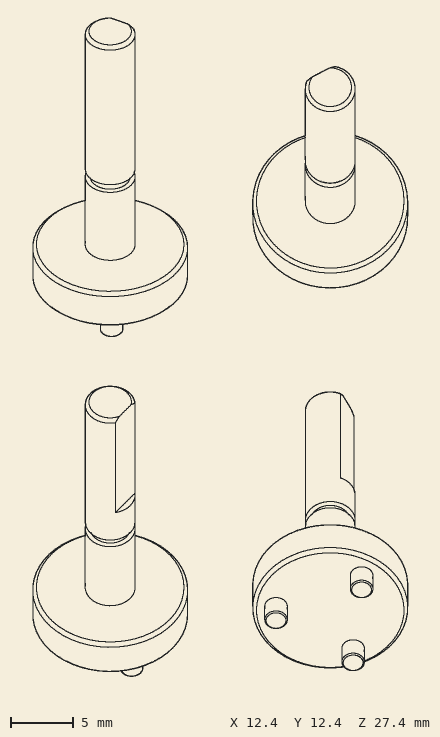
import cadquery as cq
import math

total_height = 27.35
pin_length = 1.8
disc_thickness = 3.5
disc_diameter = 12.4
disc_chamfer = 0.3

shaft_diameter = 4.0
shaft_chamfer = 0.3
groove_diameter = 3.2
groove_width = 0.8
groove_below_top = 14.22
flat_length = 11.0
flat_offset = 1.5

pin_count = 3
pin_diameter = 1.8
pin_chamfer = 0.1
pin_circle_radius = 4.35
first_pin_angle = 180.0

disc_bottom = pin_length
disc_top = disc_bottom + disc_thickness
groove_bottom = total_height - groove_below_top - groove_width


def cylinder(diameter, bottom, height):
    """Upright cylinder on the Z axis."""
    return cq.Workplane("XY").workplane(offset=bottom).circle(diameter / 2).extrude(height)


def make_disc():
    disc = cylinder(disc_diameter, disc_bottom, disc_thickness)
    return disc.faces("<Z or >Z").edges().chamfer(disc_chamfer)


def make_shaft():
    shaft = cylinder(shaft_diameter, disc_top, total_height - disc_top)
    shaft = shaft.faces(">Z").edges().chamfer(shaft_chamfer)

    groove_ring = cylinder(shaft_diameter, groove_bottom, groove_width).cut(
        cylinder(groove_diameter, groove_bottom, groove_width)
    )

    flat_cutter = (
        cq.Workplane("XY")
        .box(shaft_diameter, shaft_diameter, flat_length, centered=(True, False, False))
        .translate((0, flat_offset, total_height - flat_length))
    )
    return shaft.cut(groove_ring).cut(flat_cutter)


def make_pin(angle):
    """Pin hanging from the disc, chamfered at its tip."""
    pin = cylinder(pin_diameter, 0, pin_length).faces("<Z").edges().chamfer(pin_chamfer)
    x = pin_circle_radius * math.cos(math.radians(angle))
    y = pin_circle_radius * math.sin(math.radians(angle))
    return pin.translate((x, y, 0))


result = make_disc().union(make_shaft())
for index in range(pin_count):
    result = result.union(make_pin(first_pin_angle + index * 360 / pin_count))